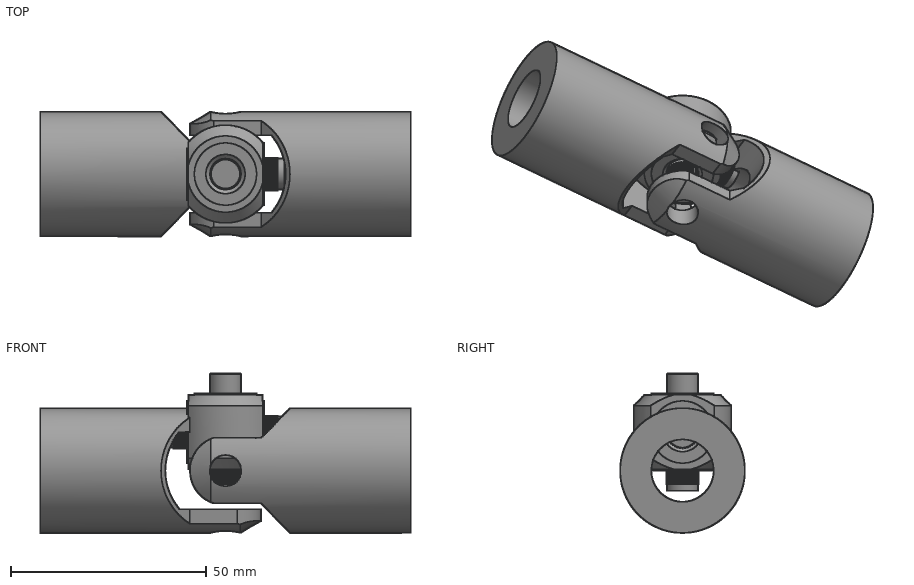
import cadquery as cq
import math


JOINT_LENGTH = 95.0
FORK_DIAMETER = 32.0
BORE_DIAMETER = 16.0
GAP = 19.8
EAR_WIDTH = 16.8
EAR_REACH = 9.1
EAR_ROUND_START = 3.0
SHOULDER_LENGTH = 7.4
EAR_HOLE_DIAMETER = 8.0
EAR_BEVEL_START = 3.8
EAR_BEVEL_ANGLE = 30.0
SLOT_END_RADIUS = 15.4

BLOCK_DIAMETER = 25.1
BLOCK_CHAMFER = 2.8
BOSS_DIAMETER = 16.0
BOSS_HEIGHT = 0.4
COUNTERSINK_DIAMETER = 10.1

PIN_DIAMETER = 8.0
PIN_CHAMFER = 0.3
PIN_HALF_LENGTH = 15.1
KNURL_DIAMETER = 8.5
KNURL_GAP = 0.3
KNURL_LENGTH = 3.2
TOOTH_COUNT = 40

fork_radius = FORK_DIAMETER / 2
half_gap = GAP / 2
block_width = GAP - 2 * BOSS_HEIGHT
block_z = half_gap
pin_radius = PIN_DIAMETER / 2
CENTRE = (0, 0, 0)
AXES = ((1, 0, 0), (-1, 0, 0), (0, 0, 1), (0, 0, -1))


def cylinder(diameter, length, start, direction):
    """Solid cylinder that runs from a start point along a direction."""
    return cq.Workplane(cq.Solid.makeCylinder(diameter / 2, length, cq.Vector(*start), cq.Vector(*direction)))


def fork():
    """Fork with its shank toward +X and its ears at +Y and -Y, around the joint centre."""
    shank_end = JOINT_LENGTH / 2
    bevel_length = EAR_REACH - EAR_BEVEL_START
    tip_radius = fork_radius - bevel_length * math.tan(math.radians(EAR_BEVEL_ANGLE))
    blank = (
        cq.Workplane("XY")
        .moveTo(-EAR_REACH, 0)
        .lineTo(-EAR_REACH, tip_radius)
        .lineTo(-EAR_BEVEL_START, fork_radius)
        .lineTo(shank_end, fork_radius)
        .lineTo(shank_end, 0)
        .close()
        .revolve(360, CENTRE, (1, 0, 0))
    )

    half_width = EAR_WIDTH / 2
    shoulder_x = EAR_REACH + SHOULDER_LENGTH
    outline = (
        cq.Workplane("XZ")
        .moveTo(-EAR_ROUND_START, -half_width)
        .threePointArc((-EAR_REACH, 0), (-EAR_ROUND_START, half_width))
        .lineTo(EAR_REACH, half_width)
        .lineTo(shoulder_x, fork_radius)
        .lineTo(shank_end, fork_radius)
        .lineTo(shank_end, -fork_radius)
        .lineTo(shoulder_x, -fork_radius)
        .lineTo(EAR_REACH, -half_width)
        .close()
        .extrude(fork_radius, both=True)
    )

    slot = (
        cq.Workplane("XY")
        .circle(SLOT_END_RADIUS)
        .extrude(fork_radius, both=True)
        .intersect(cq.Workplane("XY").box(2 * SLOT_END_RADIUS, GAP, FORK_DIAMETER))
    )
    bore = cylinder(BORE_DIAMETER, shank_end, CENTRE, (1, 0, 0))
    ear_holes = cylinder(EAR_HOLE_DIAMETER, FORK_DIAMETER, (0, -fork_radius, 0), (0, 1, 0))
    return blank.intersect(outline).cut(slot).cut(bore).cut(ear_holes)


def block_blank():
    """Cross block without holes: a chamfered drum with two flats and four round bosses."""
    body = (
        cq.Workplane("XY")
        .circle(BLOCK_DIAMETER / 2)
        .extrude(block_width / 2, both=True)
        .edges("%CIRCLE")
        .chamfer(BLOCK_CHAMFER)
        .intersect(cq.Workplane("XY").box(block_width, BLOCK_DIAMETER, block_width))
    )
    for axis in AXES:
        body = body.union(cylinder(BOSS_DIAMETER, half_gap, CENTRE, axis))
    return body


def pin_hole():
    """Hole cutter along Z through the block centre, countersunk at both ends."""
    sink_radius = COUNTERSINK_DIAMETER / 2
    sink_start = half_gap - (sink_radius - pin_radius)
    return (
        cq.Workplane("XZ")
        .moveTo(0, -half_gap)
        .lineTo(sink_radius, -half_gap)
        .lineTo(pin_radius, -sink_start)
        .lineTo(pin_radius, sink_start)
        .lineTo(sink_radius, half_gap)
        .lineTo(0, half_gap)
        .close()
        .revolve(360, CENTRE, (0, 1, 0))
    )


def cross_block():
    """Cross block with a pin hole along Z and another along X."""
    return block_blank().cut(pin_hole()).cut(pin_hole().rotate(CENTRE, (0, 1, 0), 90))


def pin(start):
    """Pin along +Z from a start height, chamfered at the start and knurled just outside the block."""
    body = (
        cq.Workplane("XY")
        .workplane(offset=start)
        .circle(pin_radius)
        .extrude(PIN_HALF_LENGTH - start)
        .faces("<Z")
        .chamfer(PIN_CHAMFER)
    )
    crest = KNURL_DIAMETER / 2
    half_pitch = math.pi / TOOTH_COUNT
    points = []
    for i in range(2 * TOOTH_COUNT):
        radius = crest if i % 2 == 0 else pin_radius
        points.append((radius * math.cos(i * half_pitch), radius * math.sin(i * half_pitch)))
    knurl = (
        cq.Workplane("XY")
        .workplane(offset=half_gap + KNURL_GAP)
        .polyline(points)
        .close()
        .extrude(KNURL_LENGTH)
    )
    return body.union(knurl)


def place(body):
    """Lift a body from the joint centre to the block centre."""
    return body.translate((0, 0, block_z))


block = place(cross_block())
long_pin = place(pin(-PIN_HALF_LENGTH).rotate(CENTRE, (1, 0, 0), 180))

short_pins = [place(pin(pin_radius).rotate(CENTRE, (0, 1, 0), angle)) for angle in (90, -90)]

forks = []
for fork_body in (fork(), fork().rotate(CENTRE, (0, 0, 1), 180).rotate(CENTRE, (1, 0, 0), 90)):
    fork_body = fork_body.cut(place(block_blank()))
    for obstacle in (long_pin, *short_pins):
        fork_body = fork_body.cut(obstacle)
    forks.append(fork_body)

result = cq.Compound.makeCompound(
    [
        *[fork_body.val() for fork_body in forks],
        block.val(),
        long_pin.val(),
        *[short_pin.val() for short_pin in short_pins],
    ]
)